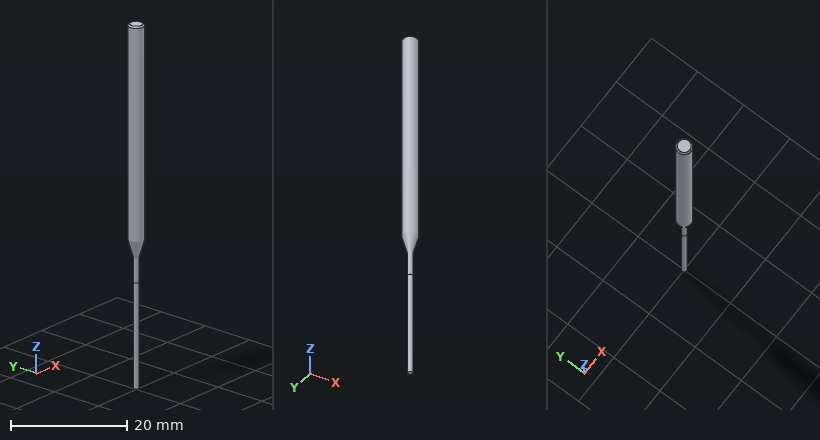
import cadquery as cq
import math

total_length = 68.0

shank_diameter = 3.0
shank_length = 40.0
top_chamfer_width = 0.3
top_chamfer_height = 0.3
neck_diameter = 1.0
taper_length = 3.5

cutter_diameter = 1.0
cutter_length = 20.0
point_angle = 130.0

shank_radius = shank_diameter / 2
neck_radius = neck_diameter / 2
cutter_radius = cutter_diameter / 2

shank_bottom = total_length - shank_length
neck_top = shank_bottom - taper_length
point_length = cutter_radius / math.tan(math.radians(point_angle / 2))


def make_holder():
    """Chamfered shank that tapers down to a thin neck."""
    return (
        cq.Workplane("XZ")
        .moveTo(0, cutter_length)
        .lineTo(neck_radius, cutter_length)
        .lineTo(neck_radius, neck_top)
        .lineTo(shank_radius, shank_bottom)
        .lineTo(shank_radius, total_length - top_chamfer_height)
        .lineTo(shank_radius - top_chamfer_width, total_length)
        .lineTo(0, total_length)
        .close()
        .revolve(360, (0, 0), (0, 1))
    )


def make_cutter():
    """Pointed cutter whose flat top meets the end of the neck."""
    return (
        cq.Workplane("XZ")
        .lineTo(cutter_radius, point_length)
        .lineTo(cutter_radius, cutter_length)
        .lineTo(0, cutter_length)
        .close()
        .revolve(360, (0, 0), (0, 1))
    )


holder = make_holder()
cutter = make_cutter()

result = cq.Compound.makeCompound([holder.val(), cutter.val()])